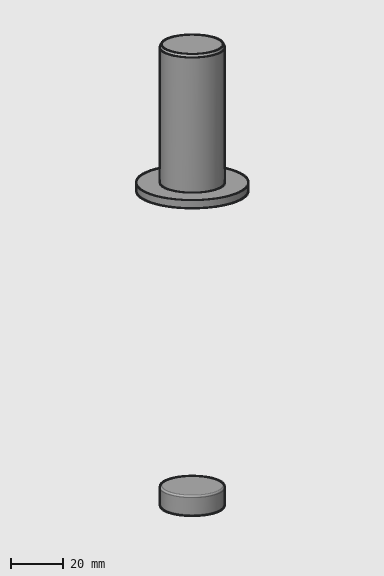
import cadquery as cq

overall_height = 186.0

shaft_diameter = 25.0
flange_diameter = 43.0
flange_thickness = 3.3
pin_height = 59.0

pin_chamfer_height = 1.2
pin_chamfer_inset = 0.69

disc_diameter = shaft_diameter
disc_height = 8.4
disc_rim_radius = 0.7

pin_base_z = overall_height - pin_height


def revolve_about_z(profile):
    """Turn a closed (radius, height) outline once around the Z axis."""
    return cq.Workplane("XZ").polyline(profile).close().revolve(360, (0, 0, 0), (0, 1, 0))


def make_pin():
    """Round shaft with a thin flange at its foot and a chamfered top rim."""
    shaft_radius = shaft_diameter / 2
    flange_radius = flange_diameter / 2
    flange_top_z = pin_base_z + flange_thickness
    return revolve_about_z([
        (0, pin_base_z),
        (flange_radius, pin_base_z),
        (flange_radius, flange_top_z),
        (shaft_radius, flange_top_z),
        (shaft_radius, overall_height - pin_chamfer_height),
        (shaft_radius - pin_chamfer_inset, overall_height),
        (0, overall_height),
    ])


def make_disc():
    """Plain disc with both rims rounded."""
    return (
        cq.Workplane("XY")
        .circle(disc_diameter / 2)
        .extrude(disc_height)
        .faces("<Z or >Z")
        .edges()
        .fillet(disc_rim_radius)
    )


pin = make_pin()
disc = make_disc()

result = cq.Compound.makeCompound([pin.val(), disc.val()])